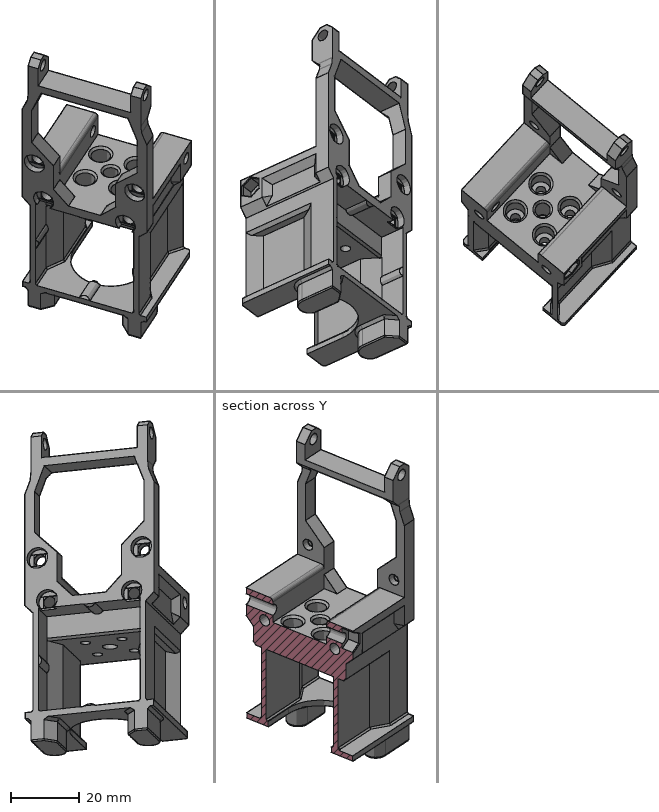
import cadquery as cq
import math


width = 39.8
depth = 32.5
height = 95.65
half_width = width / 2

frame_thickness = 4.65
ear_depth = 7.53
ear_outer = 18.0
ear_inner = 14.75
ear_outer_bottom = 82.9
shoulder_x = 18.23
shoulder_z = 80.5
shoulder_bottom = 76.3
crossbar_top = 87.2
ear_top_front = 2.0
ear_top_rear = 4.4
ear_front_bevel = 1.8
ear_rear_bevel_bottom = 92.4
ear_heel_top = 85.1
ear_heel_bottom = ear_heel_top - (ear_depth - frame_thickness)
window_sill_half = 5.1
window_sill_bevel_top = 48.55
window_neck_top = 57.7
window_half_width = 16.83
window_widest_bottom = 64.4
window_widest_top = 76.9
window_head_half = 13.85
window_head = 84.6
pivot_y = 3.5
pivot_z = 92.4
screw_diameter = 3.5

block_top = 51.8
channel_floor = 43.7
channel_half_width = 9.9
channel_fillet = 1.2
block_bevel_top = 42.2

box_half_width = 17.35
wall = 1.67
cavity_half_width = box_half_width - wall
block_bevel_bottom = block_bevel_top - (half_width - box_half_width)
front_ceiling = 40.75
rear_ceiling = 33.4
ceiling_step_y = 7.9
ceiling_step_chamfer = 0.7

waist_start = 8.34
waist_flat_start = 13.6
waist_flat_end = 28.5
waist_inset = 3.28
waist_top_chamfer = 1.05
end_overrun = 2.0

floor_bottom = 7.25
floor_top = 9.15
floor_half_width = 19.75
floor_rear_fillet = 1.1
wall_foot_chamfer = 0.5
floor_opening_radius = 11.7

bore_y = 19.15
bore_diameter = 4.4
bore_mouth_diameter = 5.7
pattern_offset = 5.65
pattern_hole_diameter = 2.9
pattern_counterbore_diameter = 5.7
pattern_mouth_diameter = 7.1
pattern_counterbore_depth = 6.0

front_screws = ((16.0, 56.4), (13.05, 43.15))
front_counterbore_diameter = 6.3
front_counterbore_depth = 2.0
bridge_step = 0.2

pocket_front = 4.65
pocket_rear = 24.5
pocket_top = 49.1
pocket_depth = 2.1
bolt_y = 28.8
bolt_z = 47.85
nut_flats = 5.8
nut_depth = 4.0
nut_turn = 30
nut_chamfer = 0.25
rib_radius = 2.2
rib_height = 0.75
rib_end = 7.8
cavity_middle_z = (front_ceiling + floor_top) / 2

foot_inner = 10.85
foot_outer = 18.0
foot_length = 14.8
foot_bevel = 3.1
foot_flare = 0.9
foot_edge_height = 0.5
foot_edge_inset = 0.25


def box(x0, x1, y0, y1, z0, z1):
    """Axis-aligned box between the given limits."""
    return cq.Workplane("XY").box(x1 - x0, y1 - y0, z1 - z0, centered=False).translate((x0, y0, z0))


def mirrored_outline(right_points):
    """Close a right-hand outline with its mirror image about X = 0."""
    return right_points + [(-x, z) for x, z in reversed(right_points)]


def front_prism(right_points, y0, y1):
    """Extrude a symmetric XZ outline from y0 to y1."""
    outline = cq.Workplane("XZ", origin=(0, y0, 0)).polyline(mirrored_outline(right_points))
    return outline.close().extrude(y0 - y1)


def y_cylinder(diameter, x, z, y0, y1):
    return cq.Workplane("XZ", origin=(x, y0, z)).circle(diameter / 2).extrude(y0 - y1)


def x_cylinder(diameter, y, z):
    """Cylinder along X through the full width."""
    return cq.Workplane("YZ", origin=(-half_width, y, z)).circle(diameter / 2).extrude(width)


def both_sides(solid):
    """Join a right-hand solid with its mirror image."""
    return solid.union(solid.mirror("YZ"))


def make_frame():
    """Front frame with two pivot ears, a crossbar and an open window."""
    face = front_prism(
        [
            (box_half_width, block_bevel_bottom),
            (half_width, block_bevel_top),
            (half_width, shoulder_bottom),
            (shoulder_x, shoulder_z),
            (ear_outer, ear_outer_bottom),
            (ear_outer, height),
        ],
        0,
        ear_depth,
    )
    profile = (
        cq.Workplane("YZ", origin=(-half_width, 0, 0))
        .polyline(
            [
                (0, block_bevel_bottom),
                (0, height - ear_front_bevel),
                (ear_top_front, height),
                (ear_top_rear, height),
                (ear_depth, ear_rear_bevel_bottom),
                (ear_depth, ear_heel_top),
                (frame_thickness, ear_heel_bottom),
                (frame_thickness, block_bevel_bottom),
            ]
        )
        .close()
        .extrude(width)
    )
    window = front_prism(
        [
            (window_sill_half, channel_floor),
            (channel_half_width, window_sill_bevel_top),
            (channel_half_width, window_neck_top),
            (window_half_width, window_widest_bottom),
            (window_half_width, window_widest_top),
            (window_head_half, window_head),
        ],
        0,
        ear_depth,
    )
    ear_gap = box(-ear_inner, ear_inner, 0, ear_depth, crossbar_top, height)
    return face.intersect(profile).cut(window).cut(ear_gap).cut(x_cylinder(screw_diameter, pivot_y, pivot_z))


def make_block():
    """Bevelled upper block, with the channel open behind the frame."""
    block = front_prism(
        [
            (box_half_width, block_bevel_bottom),
            (half_width, block_bevel_top),
            (half_width, block_top),
        ],
        frame_thickness,
        depth,
    )
    channel = box(-channel_half_width, channel_half_width, frame_thickness, depth, channel_floor, block_top)
    block = block.cut(channel)
    reach = channel_half_width + channel_fillet
    rim = cq.selectors.BoxSelector(
        (-reach, 0, block_top - channel_fillet),
        (reach, depth, block_top + channel_fillet),
    )
    return block.edges("|Y").edges(rim).fillet(channel_fillet)


def waist_plan(half, shift, z):
    """Plan outline at height z of a waisted face, overrunning the box at both ends.

    half is the half-width away from the waist; shift moves the bends lengthwise for the inner face.
    """
    flat = half - waist_inset
    right = [
        (half, -end_overrun),
        (half, waist_start - shift),
        (flat, waist_flat_start - shift),
        (flat, waist_flat_end + shift),
        (half, depth + shift),
        (half, depth + end_overrun),
    ]
    return cq.Workplane("XY", origin=(0, 0, z)).polyline(mirrored_outline(right)).close()


def make_box():
    """Waisted box on the floor plate, still without its cavity."""
    waist_height = rear_ceiling - floor_top
    body = box(-box_half_width, box_half_width, 0, depth, floor_bottom, block_bevel_bottom)
    waist_zone = box(-half_width, half_width, 0, depth, floor_top, rear_ceiling)
    outside_waist = waist_zone.cut(waist_plan(box_half_width, 0, floor_top).extrude(waist_height))
    body = body.cut(outside_waist).cut(both_sides(make_waist_bevel()))

    wall_foot = waist_plan(box_half_width, 0, floor_top).offset2D(wall_foot_chamfer, "intersection")
    wall_foot = wall_foot.extrude(wall_foot_chamfer, taper=45).intersect(waist_zone)

    floor = box(-floor_half_width, floor_half_width, 0, depth, floor_bottom, floor_top)
    floor = floor.edges("|Z and >Y").fillet(floor_rear_fillet)
    return body.union(wall_foot).union(floor)


def make_waist_bevel():
    """Right-hand bevel along the upper edge of the waist, bounded by its sloping ends."""
    bevel = (
        cq.Workplane("XZ")
        .polyline(
            [
                (box_half_width, rear_ceiling),
                (box_half_width - waist_top_chamfer, rear_ceiling),
                (box_half_width, rear_ceiling + waist_top_chamfer),
            ]
        )
        .close()
        .extrude(-depth)
    )
    recess = (
        cq.Workplane("XY", origin=(0, 0, rear_ceiling))
        .polyline(
            [
                (box_half_width, waist_start),
                (box_half_width - waist_inset, waist_flat_start),
                (box_half_width - waist_inset, waist_flat_end),
                (box_half_width, depth),
            ]
        )
        .close()
        .extrude(waist_top_chamfer)
    )
    return bevel.intersect(recess)


def make_cavity():
    """Room inside the box: waisted walls, a stepped ceiling and a chamfered floor edge."""
    slope = math.atan2(waist_inset, waist_flat_start - waist_start)
    shift = wall * math.tan(slope / 2)
    chamfer_top = floor_top + wall_foot_chamfer
    room = waist_plan(cavity_half_width, shift, chamfer_top).extrude(rear_ceiling - chamfer_top)
    room_foot = waist_plan(cavity_half_width, shift, chamfer_top).extrude(-wall_foot_chamfer, taper=45)
    step = (
        cq.Workplane("YZ", origin=(-cavity_half_width, 0, 0))
        .polyline(
            [
                (0, rear_ceiling),
                (0, front_ceiling),
                (ceiling_step_y, front_ceiling),
                (ceiling_step_y, rear_ceiling + ceiling_step_chamfer),
                (ceiling_step_y + ceiling_step_chamfer, rear_ceiling),
            ]
        )
        .close()
        .extrude(2 * cavity_half_width)
    )
    return room.union(room_foot).union(step)


def make_rib(direction):
    """Half-round grip rib with a bevelled front end; direction is its turn about Y in degrees."""
    reach = cavity_half_width
    rib = y_cylinder(2 * rib_radius, 0, -reach - rib_radius + rib_height, 0, rib_end)
    rib = rib.intersect(box(-reach, reach, 0, rib_end, -reach - wall / 2, 0))
    bevel = (
        cq.Workplane("YZ", origin=(-rib_radius, 0, 0))
        .polyline([(0, -reach), (rib_height, -reach + rib_height), (0, -reach + rib_height)])
        .close()
        .extrude(2 * rib_radius)
    )
    rib = rib.cut(bevel).rotate((0, 0, 0), (0, 1, 0), direction)
    return rib.translate((0, 0, cavity_middle_z))


def make_floor_opening():
    """Round-fronted opening in the floor plate that runs out at the rear and trims the lowest rib."""
    rib_top = floor_top + rib_height
    opening = cq.Workplane("XY", origin=(0, bore_y, floor_bottom)).circle(floor_opening_radius)
    opening = opening.extrude(rib_top - floor_bottom)
    slot = box(-floor_opening_radius, floor_opening_radius, bore_y, depth, floor_bottom, floor_top)
    return opening.union(slot)


def make_foot():
    """Right-hand foot: bevelled inner front corner, round rear and a flared top."""
    middle = (foot_inner + foot_outer) / 2
    radius = (foot_outer - foot_inner) / 2

    def plan(z):
        return (
            cq.Workplane("XY", origin=(0, 0, z))
            .moveTo(foot_inner + foot_bevel, 0)
            .lineTo(foot_outer, 0)
            .lineTo(foot_outer, foot_length - radius)
            .threePointArc((middle, foot_length), (foot_inner, foot_length - radius))
            .lineTo(foot_inner, foot_bevel)
            .close()
        )

    post = plan(0).extrude(floor_bottom)
    post = post.faces("<Z").chamfer(foot_edge_height, foot_edge_inset)
    flare = plan(floor_bottom - foot_flare).extrude(foot_flare, taper=-45)
    return post.union(flare.intersect(box(0, half_width, 0, depth, 0, floor_top)))


def make_front_screw(x, z):
    """Counterbored screw hole, stepped through a slot and a square so it prints unsupported."""
    half = screw_diameter / 2
    slot_end = front_counterbore_depth + bridge_step
    square_end = slot_end + bridge_step
    head = y_cylinder(front_counterbore_diameter, x, z, 0, front_counterbore_depth)
    slot = y_cylinder(front_counterbore_diameter, x, z, 0, slot_end)
    slot = slot.intersect(box(0, half_width, 0, depth, z - half, z + half))
    square = box(x - half, x + half, 0, square_end, z - half, z + half)
    return head.union(slot).union(square).union(y_cylinder(screw_diameter, x, z, 0, depth))


def make_channel_hole(x, y, diameter, mouth_diameter, bore_depth):
    """Vertical hole down from the channel floor with a 45 degree countersunk mouth."""
    mouth = (mouth_diameter - diameter) / 2
    hole = cq.Workplane("XY", origin=(x, y, channel_floor)).circle(diameter / 2).extrude(-bore_depth)
    countersink = cq.Workplane("XY", origin=(x, y, channel_floor)).circle(mouth_diameter / 2)
    return hole.union(countersink.extrude(-mouth, taper=45))


def make_pattern():
    """Central bore with four counterbored screw holes around it."""
    through = channel_floor - rear_ceiling
    pattern = make_channel_hole(0, bore_y, bore_diameter, bore_mouth_diameter, through)
    for x in (-pattern_offset, pattern_offset):
        for y in (bore_y - pattern_offset, bore_y + pattern_offset):
            head = make_channel_hole(
                x, y, pattern_counterbore_diameter, pattern_mouth_diameter, pattern_counterbore_depth
            )
            hole = cq.Workplane("XY", origin=(x, y, channel_floor)).circle(pattern_hole_diameter / 2)
            pattern = pattern.union(head).union(hole.extrude(-through))
    return pattern


def make_pocket():
    """Right-hand pocket with 45 degree sides, sunk from both the side face and the bevel under it."""
    floor_x = half_width - pocket_depth
    run_out = block_bevel_top - pocket_depth
    length = pocket_rear - pocket_front
    middle_y = (pocket_front + pocket_rear) / 2
    half_mouth = length / 2
    half_floor = half_mouth - pocket_depth

    def trapezoid(origin, along):
        plane = cq.Plane(origin=origin, xDir=(0, 1, 0), normal=along)
        outline = [
            (-half_mouth, 0),
            (half_mouth, 0),
            (half_floor, pocket_depth),
            (-half_floor, pocket_depth),
        ]
        return cq.Workplane(plane).polyline(outline).close()

    tall = pocket_top - run_out
    side = trapezoid((half_width, middle_y, run_out), (0, 0, 1)).extrude(tall)
    roof = (
        cq.Workplane("XZ")
        .polyline([(half_width, pocket_top), (floor_x, pocket_top), (floor_x, pocket_top - pocket_depth)])
        .close()
        .extrude(-depth)
    )
    bevel = trapezoid((half_width, middle_y, block_bevel_top), (1, 0, 1)).extrude(2 * pocket_depth, both=True)
    bevel = bevel.intersect(box(floor_x, half_width, 0, depth, run_out, block_bevel_top + pocket_depth))
    return side.cut(roof).union(bevel)


def make_nut_trap():
    """Hexagonal nut recess in the left face, with a chamfered mouth."""
    corner = 1 / math.cos(math.pi / 6)
    face = cq.Workplane("YZ", origin=(-half_width, bolt_y, bolt_z))
    recess = face.polygon(6, nut_flats * corner).extrude(nut_depth)
    mouth = face.polygon(6, (nut_flats + 2 * nut_chamfer) * corner).extrude(nut_chamfer, taper=45)
    return recess.union(mouth).rotate((0, bolt_y, bolt_z), (1, bolt_y, bolt_z), nut_turn)


def make_part():
    part = make_frame().union(make_block()).union(make_box()).cut(make_cavity())
    for quarter in range(4):
        part = part.union(make_rib(90 * quarter))
    part = part.cut(make_floor_opening())
    part = part.union(both_sides(make_foot()))
    for x, z in front_screws:
        part = part.cut(both_sides(make_front_screw(x, z)))
    part = part.cut(make_pattern())
    part = part.cut(both_sides(make_pocket()))
    return part.cut(x_cylinder(screw_diameter, bolt_y, bolt_z)).cut(make_nut_trap())


result = make_part()